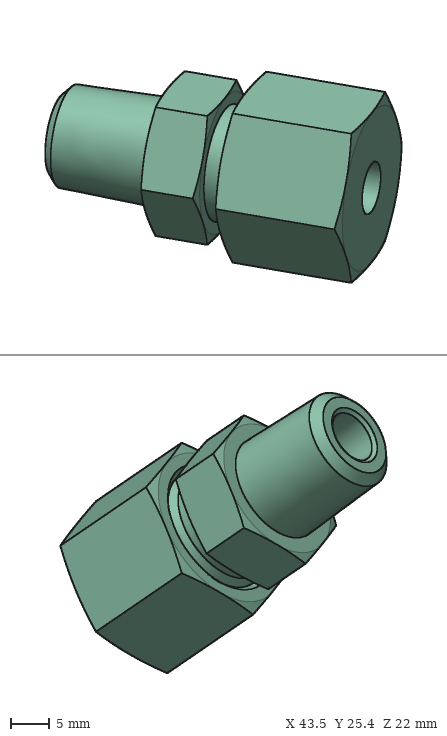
import cadquery as cq
import math


hex_start = 15.0
hex_end = 23.0
neck_end = 25.58
nut_start = 26.0
nut_end = 43.5
thread_end = (nut_start + nut_end) / 2

bore_radius = 3.5
bore_mouth_radius = 4.05
bore_mouth_depth = 0.45

stub_tip_radius = 5.6
stub_front_radius = 6.9
stub_chamfer_length = 1.25
stub_taper = 1 / 16

neck_radius = 7.85
thread_radius = 8.53
thread_runout_angle = 30
nut_mouth_chamfer = 0.75

body_hex_flats = 19.0
nut_hex_flats = 22.0
hex_chamfer_angle = 15
hex_half_side_angle = 30


def revolve_about_x(points):
    """Solid of revolution about X from a closed outline of (x, radius) points."""
    return cq.Workplane("XY").polyline(points).close().revolve(360, (0, 0, 0), (1, 0, 0))


def cylinder(radius, start, end):
    return cq.Workplane("YZ", origin=(start, 0, 0)).circle(radius).extrude(end - start)


def countersink(start, depth, mouth_radius, hole_radius):
    """Cone that narrows from the mouth radius to the hole radius in the +X direction."""
    end = start + depth
    return revolve_about_x([(start, 0), (start, mouth_radius), (end, hole_radius), (end, 0)])


def chamfered_hexagon(flats, start, end):
    """Hexagonal prism whose corners are turned down by a cone at both ends."""
    inner_radius = flats / 2
    corner_radius = inner_radius / math.cos(math.radians(hex_half_side_angle))
    chamfer_depth = (corner_radius - inner_radius) * math.tan(math.radians(hex_chamfer_angle))
    prism = cq.Workplane("YZ", origin=(start, 0, 0)).polygon(6, 2 * corner_radius).extrude(end - start)
    envelope = revolve_about_x([
        (start, 0),
        (start, inner_radius),
        (start + chamfer_depth, corner_radius),
        (end - chamfer_depth, corner_radius),
        (end, inner_radius),
        (end, 0),
    ])
    return prism.intersect(envelope)


def make_fitting_body():
    taper_length = hex_start - stub_chamfer_length
    stub_back_radius = stub_front_radius + taper_length * stub_taper / 2
    runout_length = (thread_radius - neck_radius) / math.tan(math.radians(thread_runout_angle))
    turned_profile = revolve_about_x([
        (0, 0),
        (0, stub_tip_radius),
        (stub_chamfer_length, stub_front_radius),
        (hex_start, stub_back_radius),
        (hex_start, neck_radius),
        (neck_end, neck_radius),
        (neck_end + runout_length, thread_radius),
        (thread_end, thread_radius),
        (thread_end, 0),
    ])
    hexagon = chamfered_hexagon(body_hex_flats, hex_start, hex_end)
    bore = cylinder(bore_radius, 0, thread_end)
    bore_mouth = countersink(0, bore_mouth_depth, bore_mouth_radius, bore_radius)
    return turned_profile.union(hexagon).cut(bore).cut(bore_mouth)


def make_union_nut():
    hexagon = chamfered_hexagon(nut_hex_flats, nut_start, nut_end)
    thread_recess = cylinder(thread_radius, nut_start, thread_end)
    nut_mouth_radius = thread_radius + nut_mouth_chamfer
    nut_mouth = countersink(nut_start, nut_mouth_chamfer, nut_mouth_radius, thread_radius)
    tube_hole = cylinder(bore_radius, thread_end, nut_end)
    return hexagon.cut(thread_recess).cut(nut_mouth).cut(tube_hole)


fitting_body = make_fitting_body()
union_nut = make_union_nut()

result = cq.Compound.makeCompound([fitting_body.val(), union_nut.val()])